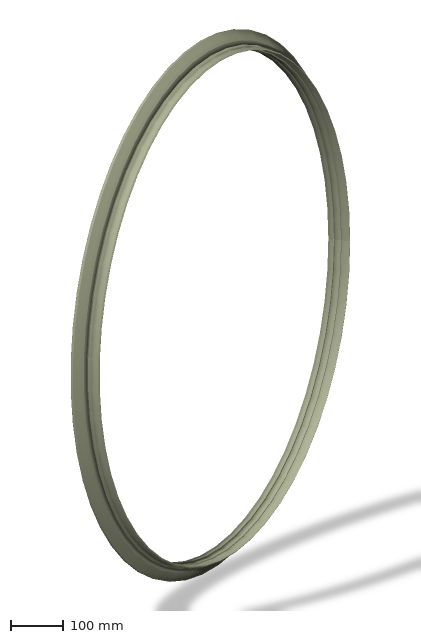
import cadquery as cq

outer_radius = 532.0
width = 46.0

rim_round = 3.0
land_end = 6.0
cone_end = 16.0
cone_end_radius = 518.0
shoulder = 19.0
shoulder_radius = 513.0

groove_radius = 500.0
groove_end = 25.0

lip_radius = 505.0
lip_end = 30.0
sleeve_radius = 501.0
end_bevel = 2.0

mouth_radius = 496.0
throat_radius = 495.0
throat_start = 6.0
throat_end = 13.0
bore_radius = 498.0
step_end = 28.0
step_radius = 496.0

split_gap = 1.0


def ring_body():
    """Revolve the section, drawn as (axial position, radius), about X."""
    section = (
        cq.Workplane("XY")
        .moveTo(0, mouth_radius)
        .lineTo(0, outer_radius - rim_round)
        .radiusArc((rim_round, outer_radius), rim_round)
        .lineTo(land_end, outer_radius)
        .lineTo(cone_end, cone_end_radius)
        .lineTo(shoulder, shoulder_radius)
        .lineTo(shoulder, groove_radius)
        .lineTo(groove_end, groove_radius)
        .lineTo(groove_end, lip_radius)
        .lineTo(lip_end, sleeve_radius)
        .lineTo(width - end_bevel, sleeve_radius)
        .lineTo(width, sleeve_radius - end_bevel)
        .lineTo(width, bore_radius)
        .lineTo(step_end, bore_radius)
        .lineTo(step_end, step_radius)
        .lineTo(throat_end, bore_radius)
        .lineTo(throat_end, throat_radius)
        .lineTo(throat_start, throat_radius)
        .close()
    )
    return section.revolve(360, (0, 0, 0), (1, 0, 0))


def split_cutter():
    """Thin slab that reaches from the axis to the rim towards +Y."""
    return cq.Workplane("XY").box(width, outer_radius, split_gap, centered=(False, False, True))


result = ring_body().cut(split_cutter())